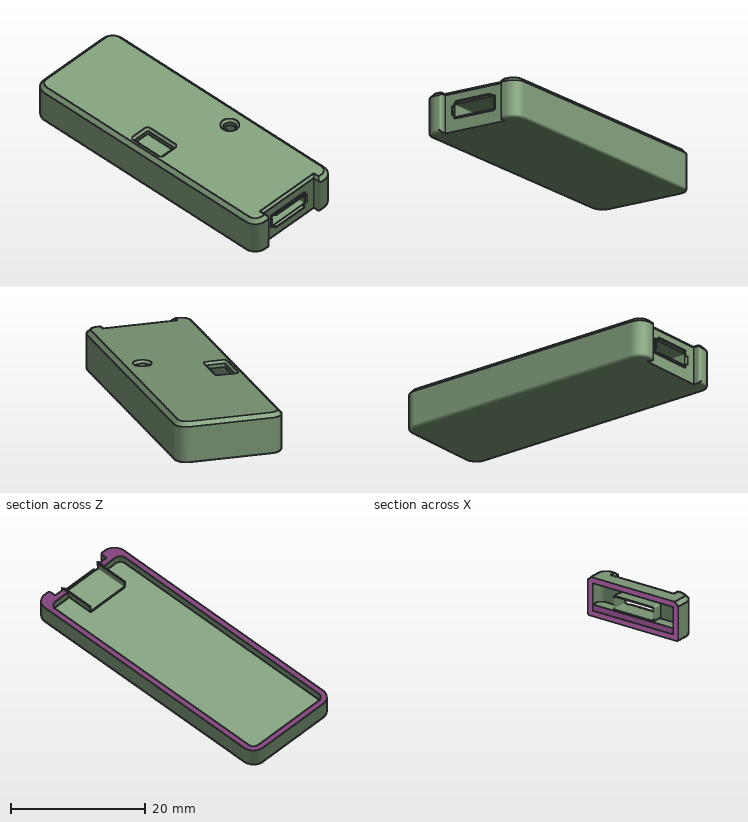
import math

import cadquery as cq

case_length = 45.5
case_width = 16.8
case_height = 6.35
corner_radius = 2.0
top_chamfer = 0.65
bottom_fillet = 0.4
wall = 1.0
opening_chamfer = 0.4

round_hole_diameter = 2.0
round_hole_x = 4.65
round_hole_y = 5.0
window_length = 5.45
window_width = 2.85
window_corner_radius = 0.2
window_x = -0.85
window_y = -5.5

notch_depth = 1.25
notch_width = 10.85
notch_mouth_radius = 0.35
notch_face_x = case_length / 2 - notch_depth

cavity_start_x = -case_length / 2 + wall
cavity_end_x = notch_face_x - wall
cavity_length = cavity_end_x - cavity_start_x
cavity_width = case_width - 2 * wall
cavity_height = case_height - 2 * wall
cavity_middle_x = (cavity_start_x + cavity_end_x) / 2
cavity_corner_radius = corner_radius - wall

board_thickness = 1.0
board_top_z = wall + board_thickness

socket_y = -0.15
socket_width = 7.5
socket_height = 2.45
socket_length = 5.45
socket_corner_radius = 0.35
sheet_thickness = 0.25
long_lip_width = 6.2
long_lip_reach = 0.35
long_lip_angle = math.radians(22)
short_lip_width = 1.27
short_lip_reach = 0.25
short_lip_angle = math.radians(40)
socket_middle_z = board_top_z + socket_height / 2


def rounded_block(length, width, height, radius):
    """Upright block with rounded vertical edges, standing on Z = 0."""
    return cq.Workplane("XY").rect(length, width).extrude(height).edges("|Z").fillet(radius)


def socket_block(width, height, radius):
    """Rounded bar along X that ends at the notch face, on the socket's axis."""
    return (
        cq.Workplane("YZ", origin=(notch_face_x, socket_y, socket_middle_z))
        .rect(width, height)
        .extrude(-socket_length)
        .edges("|X")
        .fillet(radius)
    )


def make_outer_case():
    block = rounded_block(case_length, case_width, case_height, corner_radius)
    return block.faces(">Z").chamfer(top_chamfer).faces("<Z").fillet(bottom_fillet)


def make_cavity(height):
    """The cavity's plan shape, filled from its floor up to the given height."""
    block = rounded_block(cavity_length, cavity_width, height, cavity_corner_radius)
    return block.translate((cavity_middle_x, 0, wall))


def make_notch():
    """Straight slot with a bevel along its top edges; it runs out past the +X end."""
    slot_length = 2 * notch_depth
    slot = cq.Workplane("XY").rect(slot_length, notch_width).extrude(case_height)
    bevel = (
        cq.Workplane("XY", origin=(0, 0, case_height))
        .rect(slot_length + 2 * opening_chamfer, notch_width + 2 * opening_chamfer)
        .extrude(-opening_chamfer, taper=45)
    )
    return slot.union(bevel).translate((case_length / 2, 0, 0))


def make_mouth_rounding(side):
    """Cutter that rounds the upright edge of the notch mouth on the +Y (side = 1) or -Y (side = -1) side."""
    radius = notch_mouth_radius
    edge_x = case_length / 2
    edge_y = notch_width / 2
    middle_offset = radius * (1 - math.sqrt(0.5))
    return (
        cq.Workplane("XY")
        .moveTo(edge_x, side * edge_y)
        .lineTo(edge_x, side * (edge_y + radius))
        .threePointArc(
            (edge_x - middle_offset, side * (edge_y + middle_offset)),
            (edge_x - radius, side * edge_y),
        )
        .close()
        .extrude(case_height)
    )


def make_round_hole():
    hole_radius = round_hole_diameter / 2
    cutter = cq.Workplane("XY").circle(hole_radius).extrude(wall)
    bevel = cq.Solid.makeCone(
        hole_radius,
        hole_radius + opening_chamfer,
        opening_chamfer,
        pnt=cq.Vector(0, 0, wall - opening_chamfer),
    )
    return cutter.union(cq.Workplane(bevel)).translate((round_hole_x, round_hole_y, case_height - wall))


def make_window():
    opening = rounded_block(window_length, window_width, wall, window_corner_radius)
    bevel = (
        cq.Workplane("XY", origin=(0, 0, wall - opening_chamfer))
        .sketch()
        .rect(window_length, window_width)
        .vertices()
        .fillet(window_corner_radius)
        .finalize()
        .extrude(opening_chamfer, taper=-45)
    )
    return opening.union(bevel).translate((window_x, window_y, case_height - wall))


def make_case():
    socket_opening = socket_block(socket_width, socket_height, socket_corner_radius)
    return (
        make_outer_case()
        .cut(make_cavity(cavity_height))
        .cut(make_notch())
        .cut(make_mouth_rounding(1))
        .cut(make_mouth_rounding(-1))
        .cut(make_round_hole())
        .cut(make_window())
        .cut(socket_opening)
    )


def make_board():
    return make_cavity(board_thickness)


def make_lip(face_distance, width, reach, angle):
    """Lip leaning out from the shell's upper side, its middle on the X axis and its root at X = 0."""
    outer_tip = face_distance + reach * math.tan(angle)
    return (
        cq.Workplane("XZ", origin=(0, width / 2, 0))
        .moveTo(0, face_distance - sheet_thickness)
        .lineTo(0, face_distance)
        .lineTo(reach, outer_tip)
        .lineTo(reach + sheet_thickness * math.sin(angle), outer_tip - sheet_thickness * math.cos(angle))
        .close()
        .extrude(width)
    )


def make_socket():
    shell = socket_block(socket_width, socket_height, socket_corner_radius).cut(
        socket_block(
            socket_width - 2 * sheet_thickness,
            socket_height - 2 * sheet_thickness,
            socket_corner_radius - sheet_thickness,
        )
    )
    long_lip = make_lip(socket_height / 2, long_lip_width, long_lip_reach, long_lip_angle)
    short_lip = make_lip(socket_width / 2, short_lip_width, short_lip_reach, short_lip_angle)
    for lip, turns in ((long_lip, (0, 180)), (short_lip, (90, 270))):
        for turn in turns:
            turned_lip = lip.rotate((0, 0, 0), (1, 0, 0), turn)
            shell = shell.union(turned_lip.translate((notch_face_x, socket_y, socket_middle_z)))
    return shell


case = make_case()
board = make_board()
socket = make_socket()

result = cq.Compound.makeCompound([case.solids().val(), board.solids().val(), socket.solids().val()])